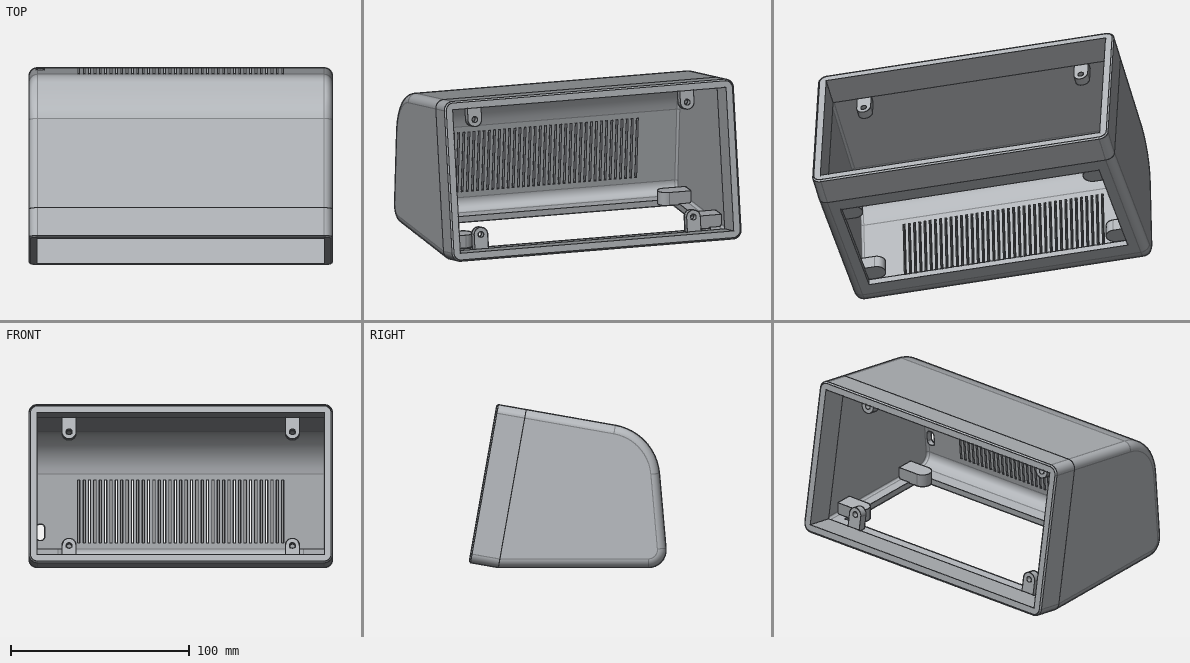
import cadquery as cq
import math


width = 170.0
mouth_height = 90.0
front_tilt = 10.0
back_tilt = 5.0
back_reach = 94.9
top_radius = 30.1
heel_radius = 10.0
side_round = 5.0
wall = 3.5

bezel_depth = 16.7
bezel_wall = 4.6
front_chamfer = 0.8

tab_width = 8.0
tab_thickness = 4.8
tab_hole = 3.2
tab_spacing_across = 125.0
tab_spacing_up = 64.6

opening_width = 149.0
opening_front = 7.8
opening_back = 76.0

boss_radius = 5.1
boss_bottom = 3.0
boss_top = 10.5
boss_reach = 68.7
boss_places_y = (15.3, 70.0)

vent_count = 39
vent_span = 114.0
vent_width = 1.0
vent_height = 35.0
vent_bottom = 14.0

slot_left = 4.0
slot_width = 4.8
slot_height = 9.0
slot_bottom = 15.3
slot_round = 2.0

sin_front = math.sin(math.radians(front_tilt))
cos_front = math.cos(math.radians(front_tilt))
tan_front = math.tan(math.radians(front_tilt))
cos_back = math.cos(math.radians(back_tilt))
tan_back = math.tan(math.radians(back_tilt))
vent_pitch = vent_span / (vent_count - 1)
back_cut_depth = back_reach / 4
mouth_centre = (0, sin_front * mouth_height / 2, cos_front * mouth_height / 2)
mouth_normal = (0, -cos_front, sin_front)


def mouth_plane():
    """Workplane on the mouth, centred, with its normal pointing out of the enclosure."""
    return cq.Workplane(cq.Plane(origin=mouth_centre, xDir=(1, 0, 0), normal=mouth_normal))


def rounded_block(inset):
    """Outer form of the housing, shrunk by inset on every side but the mouth."""
    front_y = -bezel_depth
    heel_y = back_reach - inset / cos_back - inset * tan_back
    roof_rise = (mouth_height - inset) / cos_front
    back_line = back_reach - inset / cos_back
    crown_y = (back_line - roof_rise * tan_back) / (1 - tan_front * tan_back)
    crown_z = roof_rise - crown_y * tan_front

    block = (
        cq.Workplane("YZ", origin=(inset - width / 2, 0, 0))
        .moveTo(front_y, inset)
        .lineTo(heel_y, inset)
        .lineTo(crown_y, crown_z)
        .lineTo(front_y, roof_rise - front_y * tan_front)
        .close()
        .extrude(width - 2 * inset)
    )
    block = block.edges(cq.NearestToPointSelector((0, crown_y, crown_z))).fillet(top_radius - inset)
    block = block.edges(cq.NearestToPointSelector((0, heel_y, inset))).fillet(heel_radius - inset)
    block = block.faces("<X or >X").edges().fillet(side_round - inset)
    in_front = mouth_plane().rect(2 * width, 2 * mouth_height).extrude(2 * bezel_depth)
    return block.cut(in_front)


def make_tabs(outer):
    """Four round-ended tabs hanging from the roof and standing on the floor behind the mouth."""
    tabs = []
    stem = (mouth_height - tab_spacing_up) / 2
    for across in (-tab_spacing_across / 2, tab_spacing_across / 2):
        for side in (-1, 1):
            hole_centre = mouth_plane().center(across, side * tab_spacing_up / 2)
            stem_centre = mouth_plane().center(across, side * (tab_spacing_up + stem) / 2)
            tab = (
                stem_centre.rect(tab_width, stem).extrude(-tab_thickness)
                .union(hole_centre.circle(tab_width / 2).extrude(-tab_thickness))
                .cut(hole_centre.circle(tab_hole / 2).extrude(-tab_thickness))
            )
            tabs.append(tab.intersect(outer))
    return tabs


def make_boss(side, place_y):
    """A horizontal boss rooted in one side wall, with its round end toward the middle."""
    root = width / 2 - wall / 2
    length = root - boss_reach
    base = cq.Workplane("XY", origin=(0, place_y, boss_bottom))
    height = boss_top - boss_bottom
    stem = base.center(side * (boss_reach + length / 2), 0).rect(length, 2 * boss_radius).extrude(height)
    round_end = base.center(side * boss_reach, 0).circle(boss_radius).extrude(height)
    return stem.union(round_end)


def make_floor_opening():
    return (
        cq.Workplane("XY")
        .center(0, (opening_front + opening_back) / 2)
        .rect(opening_width, opening_back - opening_front)
        .extrude(wall)
    )


def make_vents():
    return (
        cq.Workplane("XZ", origin=(0, back_reach, vent_bottom + vent_height / 2))
        .rarray(vent_pitch, 1.7, vent_count, 1)
        .rect(vent_width, vent_height)
        .extrude(back_cut_depth)
    )


def make_cable_slot():
    centre_x = -width / 2 + slot_left + slot_width / 2
    return (
        cq.Workplane("XZ", origin=(centre_x, back_reach, slot_bottom + slot_height / 2))
        .rect(slot_width, slot_height)
        .extrude(back_cut_depth)
        .edges("|Y")
        .fillet(slot_round)
    )


def make_housing():
    outer = rounded_block(0)
    shell = outer.cut(rounded_block(wall)).cut(make_floor_opening())
    for tab in make_tabs(outer):
        shell = shell.union(tab)
    for side in (-1, 1):
        for place_y in boss_places_y:
            shell = shell.union(make_boss(side, place_y))
    return shell.cut(make_vents()).cut(make_cable_slot())


def make_bezel():
    """Open rectangular frame, rounded like the housing and chamfered around its front face."""
    along_depth = cq.selectors.ParallelDirSelector(cq.Vector(*mouth_normal))
    foremost = cq.selectors.DirectionMinMaxSelector(cq.Vector(*mouth_normal), True)
    frame = (
        mouth_plane().rect(width, mouth_height).extrude(bezel_depth)
        .edges(along_depth).fillet(side_round)
        .faces(foremost).chamfer(front_chamfer)
    )
    passage = (
        mouth_plane()
        .rect(width - 2 * bezel_wall, mouth_height - 2 * bezel_wall)
        .extrude(bezel_depth)
    )
    return frame.cut(passage)


housing = make_housing()
bezel = make_bezel()
result = cq.Compound.makeCompound([housing.val(), bezel.val()])